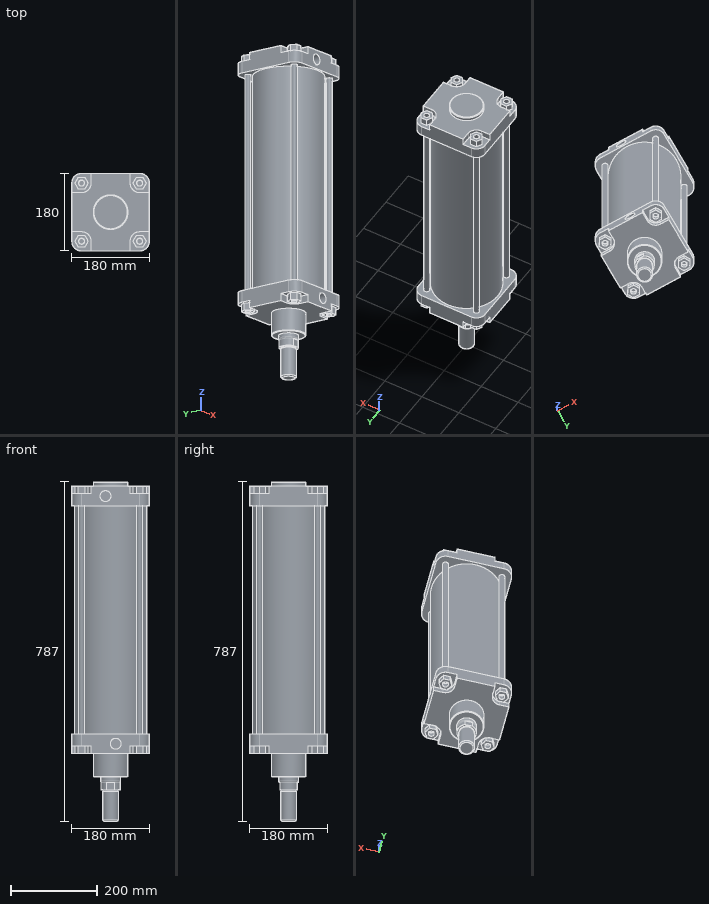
import cadquery as cq
import math

total_length = 787.0
head_width = 180.0
head_height = 46.0
collar_diameter = 80.0
collar_chamfer = 1.5
top_collar_height = 10.0
bottom_collar_height = 54.0

tie_rod_spacing = 134.5
tie_rod_diameter = 14.0
pocket_radius = 22.0
pocket_depth = 17.0
nut_across_flats = 27.0
nut_corner_diameter = nut_across_flats / math.cos(math.pi / 6)
socket_diameter = 13.0

port_diameter = 25.0
port_depth = 24.0
port_offset = 12.0

barrel_diameter = 168.5

thread_diameter = 37.0
thread_length = 73.0
neck_diameter = 35.5
neck_height = 3.0
tip_chamfer = 3.0
wrench_diameter = 45.0
wrench_height = 17.0
flat_across = 41.0
rod_diameter = 46.5
rod_taper_height = 3.0
exposed_rod_length = 103.0

bottom_head_z = exposed_rod_length + bottom_collar_height
barrel_z = bottom_head_z + head_height
top_head_end_z = total_length - top_collar_height
top_head_z = top_head_end_z - head_height
corner_radius = (head_width - tie_rod_spacing) / 2
corner_signs = [(sx, sy) for sx in (-1, 1) for sy in (-1, 1)]


def cylinder(diameter, z, height):
    """Cylinder on the Z axis standing on height z."""
    return cq.Workplane("XY").workplane(offset=z).circle(diameter / 2).extrude(height)


def corner_pocket(sign_x, sign_y, z):
    """Open corner recess, rounded around the tie rod axis."""
    reach = head_width / 2
    inner = tie_rod_spacing / 2 - pocket_radius
    side = reach - inner
    center = inner + side / 2
    return (
        cq.Workplane("XY")
        .box(side, side, pocket_depth, centered=(True, True, False))
        .translate((sign_x * center, sign_y * center, z))
        .edges("|Z")
        .edges(cq.NearestToPointSelector((sign_x * inner, sign_y * inner, z)))
        .fillet(pocket_radius)
    )


def head_block(z, pocket_z, port_x):
    """Square end plate with corner pockets, tie rod holes and an air port."""
    block = (
        cq.Workplane("XY")
        .workplane(offset=z)
        .rect(head_width, head_width)
        .extrude(head_height)
        .edges("|Z")
        .fillet(corner_radius)
    )
    for sign_x, sign_y in corner_signs:
        block = block.cut(corner_pocket(sign_x, sign_y, pocket_z))
    tie_rod_holes = (
        cq.Workplane("XY")
        .workplane(offset=z)
        .rect(tie_rod_spacing, tie_rod_spacing, forConstruction=True)
        .vertices()
        .circle(tie_rod_diameter / 2)
        .extrude(head_height)
    )
    port = (
        cq.Workplane("XZ", origin=(port_x, -head_width / 2, z + head_height / 2))
        .circle(port_diameter / 2)
        .extrude(-port_depth)
    )
    return block.cut(tie_rod_holes).cut(port)


def make_top_head():
    """Blind end head with a short centring collar on top."""
    block = head_block(top_head_z, top_head_end_z - pocket_depth, -port_offset)
    collar = cylinder(collar_diameter, top_head_end_z, top_collar_height)
    return block.union(collar.faces(">Z").chamfer(collar_chamfer))


def make_bottom_head():
    """Rod end head with a long collar and a bore for the piston rod."""
    block = head_block(bottom_head_z, bottom_head_z, port_offset)
    collar = cylinder(collar_diameter, exposed_rod_length, bottom_collar_height)
    bore = cylinder(rod_diameter, exposed_rod_length, bottom_collar_height + head_height)
    return block.union(collar.faces("<Z").chamfer(collar_chamfer)).cut(bore)


def make_barrel():
    """Cylinder barrel between the two heads."""
    return cylinder(barrel_diameter, barrel_z, top_head_z - barrel_z)


def make_piston_rod():
    """Piston rod with a necked thread end and two wrench flats facing -Y and +Y."""
    neck_z = thread_length - neck_height
    wrench_end_z = thread_length + wrench_height
    thread = cylinder(thread_diameter, 0, neck_z).faces("<Z").chamfer(tip_chamfer)
    neck = cylinder(neck_diameter, neck_z, neck_height)
    flats = (
        cq.Workplane("XY")
        .workplane(offset=thread_length)
        .rect(wrench_diameter, wrench_diameter)
        .rect(wrench_diameter, flat_across)
        .extrude(wrench_height)
    )
    wrench_section = cylinder(wrench_diameter, thread_length, wrench_height).cut(flats)
    taper_depth = (rod_diameter - wrench_diameter) / 2
    shank = (
        cylinder(rod_diameter, wrench_end_z, barrel_z - wrench_end_z)
        .faces("<Z")
        .chamfer(rod_taper_height, taper_depth)
    )
    return thread.union(neck).union(wrench_section).union(shank)


def make_tie_rod(x, y):
    """Tie rod with a hexagonal socketed nut in the pocket at each end."""
    rod = cylinder(tie_rod_diameter, bottom_head_z, top_head_end_z - bottom_head_z)
    for nut_z in (bottom_head_z, top_head_end_z - pocket_depth):
        nut = (
            cq.Workplane("XY")
            .workplane(offset=nut_z)
            .polygon(6, nut_corner_diameter)
            .extrude(pocket_depth)
        )
        rod = rod.union(nut).cut(cylinder(socket_diameter, nut_z, pocket_depth))
    return rod.translate((x, y, 0))


top_head = make_top_head()
bottom_head = make_bottom_head()
barrel = make_barrel()
piston_rod = make_piston_rod()
tie_rods = [
    make_tie_rod(sign_x * tie_rod_spacing / 2, sign_y * tie_rod_spacing / 2)
    for sign_x, sign_y in corner_signs
]

result = cq.Compound.makeCompound(
    [
        top_head.val(),
        bottom_head.val(),
        barrel.val(),
        piston_rod.val(),
        *[tie_rod.val() for tie_rod in tie_rods],
    ]
)